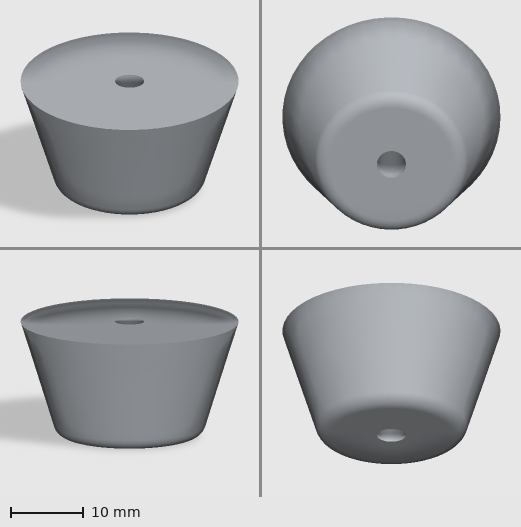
import cadquery as cq

top_diameter = 30.0
bottom_diameter = 20.0
height = 16.0
edge_radius = 2.0
hole_diameter = 4.0


def tapered_body():
    """Truncated cone, wide end up, with its lower edge rounded."""
    cone = (
        cq.Workplane("XY")
        .circle(bottom_diameter / 2)
        .workplane(offset=height)
        .circle(top_diameter / 2)
        .loft(ruled=True)
    )
    return cone.faces("<Z").edges().fillet(edge_radius)


result = tapered_body().faces(">Z").workplane().hole(hole_diameter)